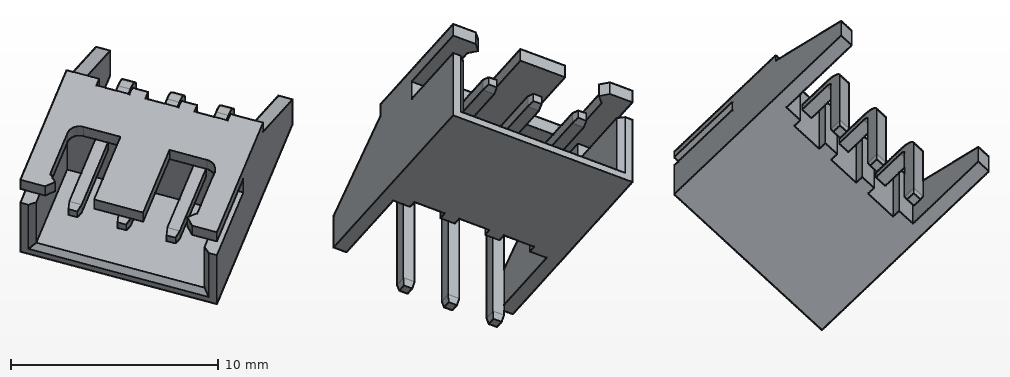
import cadquery as cq


width = 10.0
height = 5.75
total_depth = 11.5
body_depth = 7.0
roof_thickness = 0.74
wall_thickness = 0.72
floor_thickness = 0.68
cavity_depth = 4.95

lead_in_depth = 0.28
lead_in_floor = 0.28
lead_in_wall = 0.31

ear_rear_height = 1.99

contact_count = 3
pitch = 2.5
pin_size = 0.63
pin_axis_height = 3.5
pin_front_gap = 0.51
pin_rear_face = 9.19
pin_bend_radius = 0.9
pin_drop = 3.5
tip_length = 0.4
tip_inset = 0.086

side_slot_height = 1.09
slot_depth = 4.0
tongue_width = 2.5
roof_slot_width = 2.5
roof_slot_radius = 0.6
latch_reach = 0.38
latch_length = 0.8
rear_groove_width = 1.69
rear_groove_depth = 0.41

half_width = width / 2
inner_half = half_width - wall_thickness
cavity_top = height - roof_thickness
contact_places = [(i - (contact_count - 1) / 2) * pitch for i in range(contact_count)]


def box(x_range, y_range, z_range):
    """Box spanning the given coordinate ranges."""
    sizes = [high - low for low, high in (x_range, y_range, z_range)]
    corner = (x_range[0], y_range[0], z_range[0])
    return cq.Workplane("XY").box(*sizes, centered=False).translate(corner)


def make_shell():
    """Body with two sloping rear ears that continue its side walls."""
    profile = [
        (0, 0),
        (total_depth, 0),
        (total_depth, ear_rear_height),
        (body_depth, cavity_top),
        (body_depth, height),
        (0, height),
    ]
    shell = cq.Workplane("YZ").polyline(profile).close().extrude(half_width, both=True)
    between_ears = box((-inner_half, inner_half), (body_depth, total_depth), (0, height))
    return shell.cut(between_ears)


def make_cavity():
    """Mating cavity, widening at its mouth towards the walls and the floor."""
    mouth_half = inner_half + lead_in_wall
    mouth_floor = floor_thickness - lead_in_floor
    cavity = box((-inner_half, inner_half), (0, cavity_depth), (floor_thickness, cavity_top))
    lead_in = (
        cq.Workplane("XZ")
        .polyline([
            (-mouth_half, mouth_floor),
            (mouth_half, mouth_floor),
            (mouth_half, cavity_top),
            (-mouth_half, cavity_top),
        ])
        .close()
        .workplane(offset=-lead_in_depth)
        .polyline([
            (-inner_half, floor_thickness),
            (inner_half, floor_thickness),
            (inner_half, cavity_top),
            (-inner_half, cavity_top),
        ])
        .close()
        .loft(ruled=True)
    )
    return cavity.union(lead_in)


def make_side_slots():
    """Slot across both side walls, directly under the roof."""
    slot_floor = cavity_top - side_slot_height
    return box((-half_width, half_width), (0, slot_depth), (slot_floor, cavity_top))


def make_roof_slot():
    """Right-hand roof slot with one round corner and a pointed latch at its mouth."""
    inner_x = tongue_width / 2
    outer_x = inner_x + roof_slot_width
    return (
        cq.Workplane("XY")
        .workplane(offset=cavity_top)
        .moveTo(inner_x, 0)
        .lineTo(outer_x, 0)
        .lineTo(outer_x - latch_reach, latch_length / 2)
        .lineTo(outer_x, latch_length)
        .lineTo(outer_x, slot_depth - roof_slot_radius)
        .radiusArc((outer_x - roof_slot_radius, slot_depth), -roof_slot_radius)
        .lineTo(inner_x, slot_depth)
        .close()
        .extrude(roof_thickness)
    )


def make_rear_groove(x):
    """Groove down the rear face behind one contact."""
    half = rear_groove_width / 2
    return box((x - half, x + half), (body_depth - rear_groove_depth, body_depth), (0, height))


def make_tip(plane):
    """Tapered pin tip of square section, growing along the normal of the plane."""
    end_size = pin_size - 2 * tip_inset
    return (
        cq.Workplane(plane)
        .rect(pin_size, pin_size)
        .workplane(offset=tip_length)
        .rect(end_size, end_size)
        .loft(ruled=True)
    )


def make_contact(x):
    """Right-angle square pin with a rounded bend and a taper on both ends."""
    front = pin_front_gap + tip_length
    bottom = tip_length - pin_drop
    top = pin_axis_height + pin_size / 2
    under = top - pin_size
    inner_radius = pin_bend_radius - pin_size
    bend_y = pin_rear_face - pin_bend_radius
    bend_z = top - pin_bend_radius
    bar = (
        cq.Workplane("YZ")
        .moveTo(front, under)
        .lineTo(front, top)
        .lineTo(bend_y, top)
        .radiusArc((pin_rear_face, bend_z), pin_bend_radius)
        .lineTo(pin_rear_face, bottom)
        .lineTo(pin_rear_face - pin_size, bottom)
        .lineTo(pin_rear_face - pin_size, bend_z)
        .radiusArc((bend_y, bend_z + inner_radius), -inner_radius)
        .close()
        .extrude(pin_size / 2, both=True)
    )
    front_tip = make_tip("XZ").translate((0, front, pin_axis_height))
    lower_tip = make_tip("XY").mirror("XY").translate((0, pin_rear_face - pin_size / 2, bottom))
    return bar.union(front_tip).union(lower_tip).translate((x, 0, 0))


roof_slot = make_roof_slot()
result = make_shell().cut(make_cavity()).cut(make_side_slots())
result = result.cut(roof_slot).cut(roof_slot.mirror("YZ"))

for contact_x in contact_places:
    result = result.cut(make_rear_groove(contact_x))
    result = result.union(make_contact(contact_x))